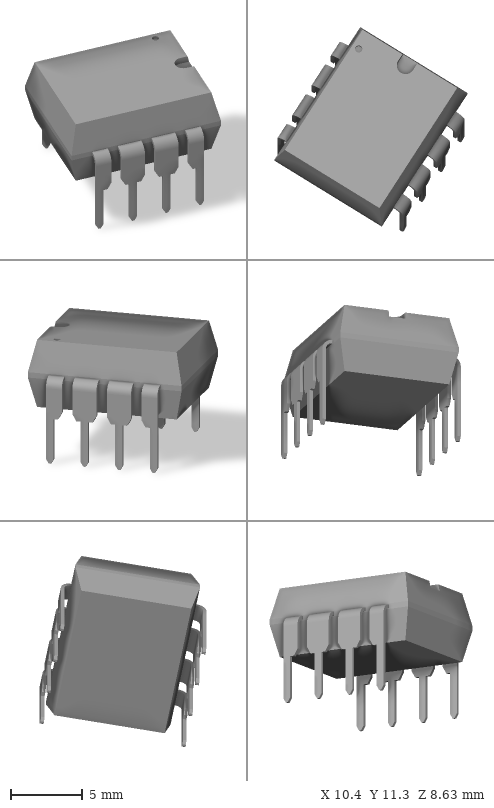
import cadquery as cq

housing_width = 8.92
housing_length = 11.3
housing_height = 4.95
band_height = 0.4
end_face_inset = 0.52
half_housing_width = housing_width / 2
half_housing_length = housing_length / 2
half_housing_height = housing_height / 2
half_band_height = band_height / 2
top_width = housing_width - 2 * end_face_inset
top_length = housing_length - 2 * end_face_inset

notch_radius = 0.62
notch_reach = 1.19
notch_depth = 0.5
dimple_radius = 0.25
dimple_depth = 0.2
dimple_x = -3.42

lead_span = 10.41
overall_height = 8.63
lead_thickness = 0.25
lead_pitch = 2.54
shoulder_width = 1.77
stem_width = 0.55
tip_width = 0.17
lead_top_z = lead_thickness / 2
tip_z = half_housing_height - overall_height
tip_height = 0.32
stem_height = 3.3
shoulder_bottom_z = tip_z + stem_height
shoulder_taper_height = 0.51
shoulder_taper_width = 0.29
half_lead_span = lead_span / 2
bend_outer_radius = half_lead_span - half_housing_width
bend_inner_radius = bend_outer_radius - lead_thickness
bend_center_z = lead_top_z - bend_outer_radius
shoulder_taper_top_z = shoulder_bottom_z + shoulder_taper_height
stem_bottom_z = tip_z + tip_height

inner_row_y = lead_pitch / 2
outer_row_y = inner_row_y + lead_pitch


def housing_half(direction):
    """Frustum from the band to an end face, pointing up (+1) or down (-1)."""
    return (
        cq.Workplane("XY")
        .workplane(offset=direction * half_band_height)
        .rect(housing_width, housing_length)
        .workplane(offset=direction * (half_housing_height - half_band_height))
        .rect(top_width, top_length)
        .loft(combine=True)
    )


def notch_cutter():
    """Round-ended slot that opens through the +Y edge of the top face."""
    center_y = top_length / 2 - notch_reach + notch_radius
    straight_length = half_housing_length - center_y
    floor = cq.Workplane("XY").workplane(offset=half_housing_height - notch_depth)
    round_end = floor.center(0, center_y).circle(notch_radius).extrude(notch_depth)
    straight = (
        floor.center(0, center_y + straight_length / 2)
        .rect(2 * notch_radius, straight_length)
        .extrude(notch_depth)
    )
    return round_end.union(straight)


def dimple_cutter():
    """Shallow round recess beside the first lead."""
    return (
        cq.Workplane("XY")
        .workplane(offset=half_housing_height - dimple_depth)
        .center(dimple_x, outer_row_y)
        .circle(dimple_radius)
        .extrude(dimple_depth)
    )


def make_housing():
    band = cq.Workplane("XY").box(housing_width, housing_length, band_height)
    body = band.union(housing_half(1)).union(housing_half(-1))
    return body.cut(notch_cutter()).cut(dimple_cutter())


def bent_strip():
    """Side profile of a +X lead, a quarter bend and a straight leg, as wide as the shoulder."""
    return (
        cq.Workplane("XZ")
        .moveTo(half_housing_width, bend_center_z + bend_outer_radius)
        .radiusArc((half_lead_span, bend_center_z), bend_outer_radius)
        .lineTo(half_lead_span, tip_z)
        .lineTo(half_lead_span - lead_thickness, tip_z)
        .lineTo(half_lead_span - lead_thickness, bend_center_z)
        .radiusArc((half_housing_width, bend_center_z + bend_inner_radius), -bend_inner_radius)
        .close()
        .extrude(shoulder_width / 2, both=True)
    )


def lead_face(has_outer_shoulder):
    """Face outline of a lead about Y = 0, as a block along X.

    The shoulder on the -Y side is always there. The +Y side has one too, or else is flush with the stem.
    """
    half_shoulder = shoulder_width / 2
    half_stem = stem_width / 2
    half_tip = tip_width / 2
    outline = (
        cq.Workplane("YZ")
        .moveTo(-half_shoulder, lead_top_z)
        .lineTo(-half_shoulder, shoulder_taper_top_z)
        .lineTo(-half_shoulder + shoulder_taper_width, shoulder_bottom_z)
        .lineTo(-half_stem, shoulder_bottom_z)
        .lineTo(-half_stem, stem_bottom_z)
        .lineTo(-half_tip, tip_z)
        .lineTo(half_tip, tip_z)
        .lineTo(half_stem, stem_bottom_z)
    )
    if has_outer_shoulder:
        outline = (
            outline.lineTo(half_stem, shoulder_bottom_z)
            .lineTo(half_shoulder - shoulder_taper_width, shoulder_bottom_z)
            .lineTo(half_shoulder, shoulder_taper_top_z)
            .lineTo(half_shoulder, lead_top_z)
        )
    else:
        outline = outline.lineTo(half_stem, lead_top_z)
    return outline.close().extrude(half_lead_span)


def make_lead(row_y, has_outer_shoulder):
    """Lead on the +X side and the +Y half of the housing."""
    return bent_strip().intersect(lead_face(has_outer_shoulder)).translate((0, row_y, 0))


housing = make_housing()

leads = []
for row_y, has_outer_shoulder in ((inner_row_y, True), (outer_row_y, False)):
    positive_y_lead = make_lead(row_y, has_outer_shoulder)
    for lead in (positive_y_lead, positive_y_lead.mirror("XZ")):
        leads.append(lead.val())
        leads.append(lead.mirror("YZ").val())

result = cq.Compound.makeCompound([housing.val(), *leads])